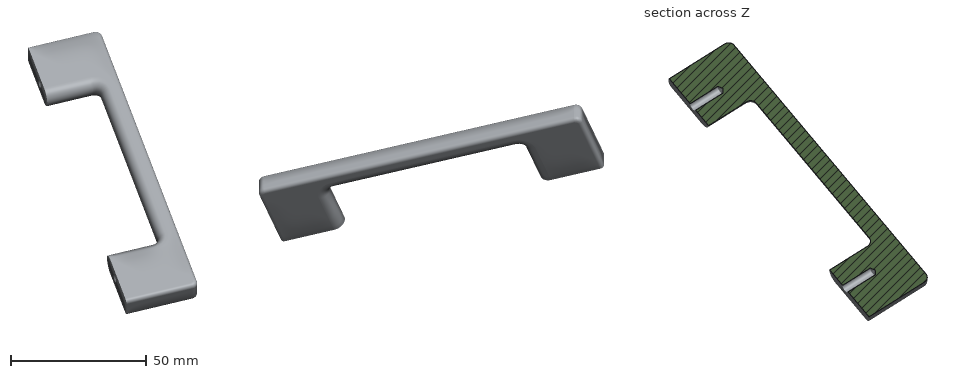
import cadquery as cq
import math

length = 126.0
depth = 28.0
thickness = 8.5

leg_width = 25.0
bar_width = 8.1
inner_bend_radius = 2.5

corner_radius = 2.5
edge_radius = 1.5
nose_radius = thickness / 2

hole_spacing = 96.0
hole_diameter = 3.3
hole_depth = 12.6
drill_point_angle = 118

opening_half_width = length / 2 - leg_width
bend_line_half_width = opening_half_width + nose_radius
bend_line_top = depth - bar_width + nose_radius
bend_line_radius = inner_bend_radius + nose_radius


def make_body():
    """Slab with its ends and back rounded."""
    body = cq.Workplane("XY").box(length, depth, thickness, centered=(True, False, True))
    body = body.edges("|Z and >Y").fillet(corner_radius)
    return body.faces("<Z or >Z").edges("not <Y").fillet(edge_radius)


def make_opening():
    """Grip opening up to the line where the inner rounding begins."""
    return (
        cq.Workplane("XY")
        .box(2 * bend_line_half_width, bend_line_top, thickness, centered=(True, False, True))
        .edges("|Z and >Y")
        .fillet(bend_line_radius)
    )


def make_nose():
    """Half-round bead lining the opening."""
    bend_start_y = bend_line_top - bend_line_radius
    bend_end_x = bend_line_half_width - bend_line_radius
    path = (
        cq.Workplane("XY")
        .moveTo(-bend_line_half_width, 0)
        .lineTo(-bend_line_half_width, bend_start_y)
        .tangentArcPoint((-bend_end_x, bend_line_top), relative=False)
        .lineTo(bend_end_x, bend_line_top)
        .tangentArcPoint((bend_line_half_width, bend_start_y), relative=False)
        .lineTo(bend_line_half_width, 0)
    )
    return (
        cq.Workplane("XZ")
        .moveTo(-bend_line_half_width, -nose_radius)
        .threePointArc(
            (-bend_line_half_width + nose_radius, 0),
            (-bend_line_half_width, nose_radius),
        )
        .close()
        .sweep(path)
    )


def drill_mounting_holes(body):
    """One blind hole in the middle of each foot's thickness."""
    drill = cq.Workplane("XZ").circle(hole_diameter / 2).extrude(-hole_depth)
    tip_height = hole_diameter / 2 / math.tan(math.radians(drill_point_angle / 2))
    tip = cq.Workplane(
        cq.Solid.makeCone(
            hole_diameter / 2, 0, tip_height, pnt=cq.Vector(0, hole_depth, 0), dir=cq.Vector(0, 1, 0)
        )
    )
    drill = drill.union(tip)
    for side in (-1, 1):
        body = body.cut(drill.translate((side * hole_spacing / 2, 0, 0)))
    return body


handle = make_body().cut(make_opening()).union(make_nose())
result = drill_mounting_holes(handle)